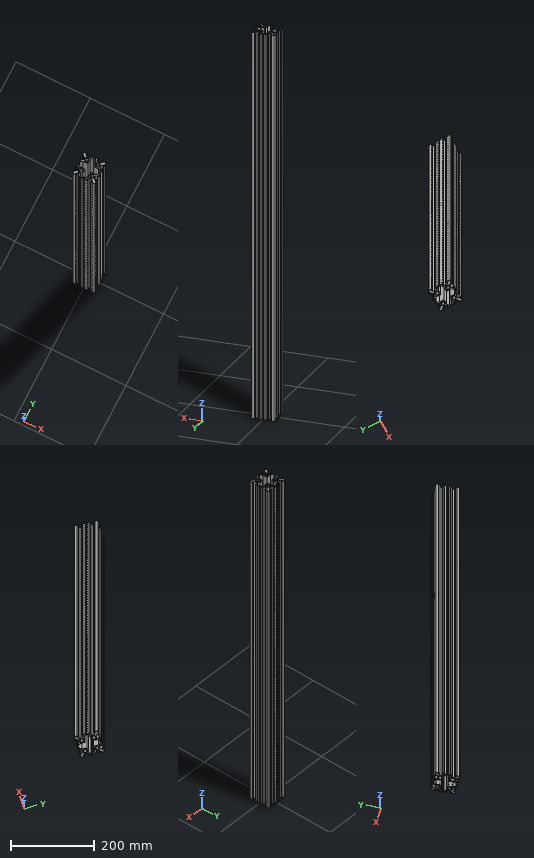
import cadquery as cq

LENGTH = 1000.0
WIDTH = 60.0
HALF_WIDTH = WIDTH / 2
CORNER_RADIUS = 2.0

SLOT_OFFSET = WIDTH / 4
SLOT_HALF_MOUTH = 4.0
SLOT_LIP = 2.2
SLOT_HALF_WIDTH = 7.5
SLOT_HALF_FLOOR = 2.5
SLOT_DEPTH = 8.0
MOUTH_RADIUS = 0.5

GROOVE_HALF_WIDTH = 1.0
GROOVE_DEPTH = 0.5

BORE_SIZE = 8.0
CORE_WALL = 3.0

ARM_HALF_WIDTH = SLOT_OFFSET - BORE_SIZE / 2 - CORE_WALL
ARM_TAPER_START = 20.5
ARM_HALF_TIP = 3.0
ARM_END_WALL = 2.5


def prism(points):
    """Full-length prism over a closed outline."""
    return cq.Workplane("XY").polyline(points).close().extrude(LENGTH)


def mirrored_outline(right_points, center_x=0.0):
    """Closed outline from its right half, given as (distance from centre line, y)."""
    right = [(center_x + dx, y) for dx, y in right_points]
    left = [(center_x - dx, y) for dx, y in reversed(right_points)]
    return right + left


def cut_on_four_sides(body, cutter):
    """Cut a shape made for the +Y side into all four sides."""
    for quarter_turn in range(4):
        body = body.cut(cutter.rotate((0, 0, 0), (0, 0, 1), 90 * quarter_turn))
    return body


def t_slot(center_x):
    """T-slot with a narrow mouth and flanks sloping in towards its floor."""
    lip_y = HALF_WIDTH - SLOT_LIP
    half = [
        (SLOT_HALF_MOUTH, HALF_WIDTH),
        (SLOT_HALF_MOUTH, lip_y),
        (SLOT_HALF_WIDTH, lip_y),
        (SLOT_HALF_FLOOR, HALF_WIDTH - SLOT_DEPTH),
    ]
    return prism(mirrored_outline(half, center_x))


def marking_groove():
    bottom = (0, HALF_WIDTH - GROOVE_DEPTH)
    return prism([(-GROOVE_HALF_WIDTH, HALF_WIDTH), bottom, (GROOVE_HALF_WIDTH, HALF_WIDTH)])


def cavity_arm():
    """One arm of the central cavity, reaching back across the centre."""
    half = [
        (ARM_HALF_WIDTH, -ARM_HALF_WIDTH),
        (ARM_HALF_WIDTH, ARM_TAPER_START),
        (ARM_HALF_TIP, HALF_WIDTH - ARM_END_WALL),
    ]
    return prism(mirrored_outline(half))


def round_slot_mouths(body):
    """Round the outer edges of all slot mouths."""
    edge_size = MOUTH_RADIUS / 2
    for side_x in (-1, 1):
        for side_edge in (-1, 1):
            along = side_x * SLOT_OFFSET + side_edge * SLOT_HALF_MOUTH
            for outer in (-HALF_WIDTH, HALF_WIDTH):
                for x, y in ((along, outer), (outer, along)):
                    around_edge = cq.selectors.BoxSelector(
                        (x - edge_size, y - edge_size, 0),
                        (x + edge_size, y + edge_size, LENGTH),
                    )
                    body = body.edges("|Z").edges(around_edge).fillet(MOUTH_RADIUS)
    return body


profile = cq.Workplane("XY").rect(WIDTH, WIDTH).extrude(LENGTH)
profile = profile.edges("|Z").fillet(CORNER_RADIUS)

for slot_x in (-SLOT_OFFSET, SLOT_OFFSET):
    profile = cut_on_four_sides(profile, t_slot(slot_x))
profile = cut_on_four_sides(profile, marking_groove())
profile = round_slot_mouths(profile)

profile = cut_on_four_sides(profile, cavity_arm())
bores = (
    cq.Workplane("XY")
    .rarray(2 * SLOT_OFFSET, 2 * SLOT_OFFSET, 2, 2)
    .rect(BORE_SIZE, BORE_SIZE)
    .extrude(LENGTH)
)
result = profile.cut(bores)